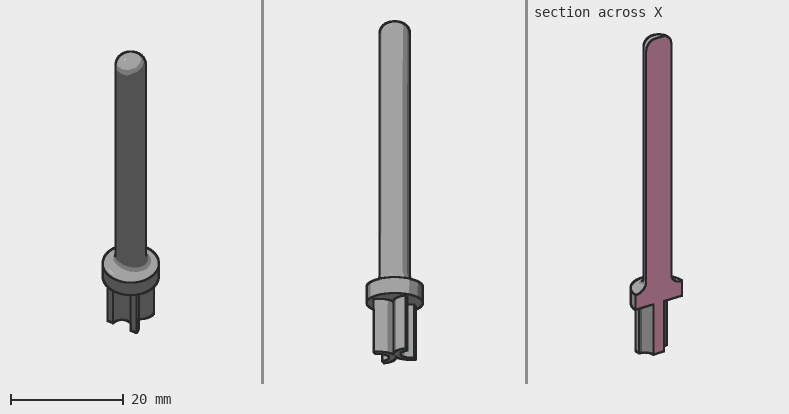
import cadquery as cq

total_height = 63.0
tail_height = 10.0
flange_height = 3.0
flange_top = tail_height + flange_height

flange_diameter = 10.0
shaft_diameter = 5.5
flange_radius = flange_diameter / 2
shaft_radius = shaft_diameter / 2
blend_radius = 2.0

ring_outer_radius = 3.0
ring_inner_radius = 1.8
ring_overlap = 0.05
ring_center_offset = ring_outer_radius - ring_overlap


def make_pin_body():
    """Revolve the flange and shaft, with a blended root and a rounded tip."""
    profile = (
        cq.Workplane("XZ")
        .moveTo(0, tail_height)
        .lineTo(flange_radius, tail_height)
        .lineTo(flange_radius, flange_top)
        .lineTo(shaft_radius + blend_radius, flange_top)
        .radiusArc((shaft_radius, flange_top + blend_radius), blend_radius)
        .lineTo(shaft_radius, total_height - blend_radius)
        .radiusArc((shaft_radius - blend_radius, total_height), -blend_radius)
        .lineTo(0, total_height)
        .close()
    )
    return profile.revolve(360, (0, 0, 0), (0, 1, 0))


def make_half_ring(side):
    """Half ring on the given Y side (+1 or -1), open away from the axis."""
    center_y = side * ring_center_offset
    return (
        cq.Workplane("XY")
        .moveTo(-ring_outer_radius, center_y)
        .threePointArc((0, center_y - side * ring_outer_radius), (ring_outer_radius, center_y))
        .lineTo(ring_inner_radius, center_y)
        .threePointArc((0, center_y - side * ring_inner_radius), (-ring_inner_radius, center_y))
        .close()
        .extrude(tail_height)
    )


result = make_pin_body()
for side in (-1, 1):
    result = result.union(make_half_ring(side))